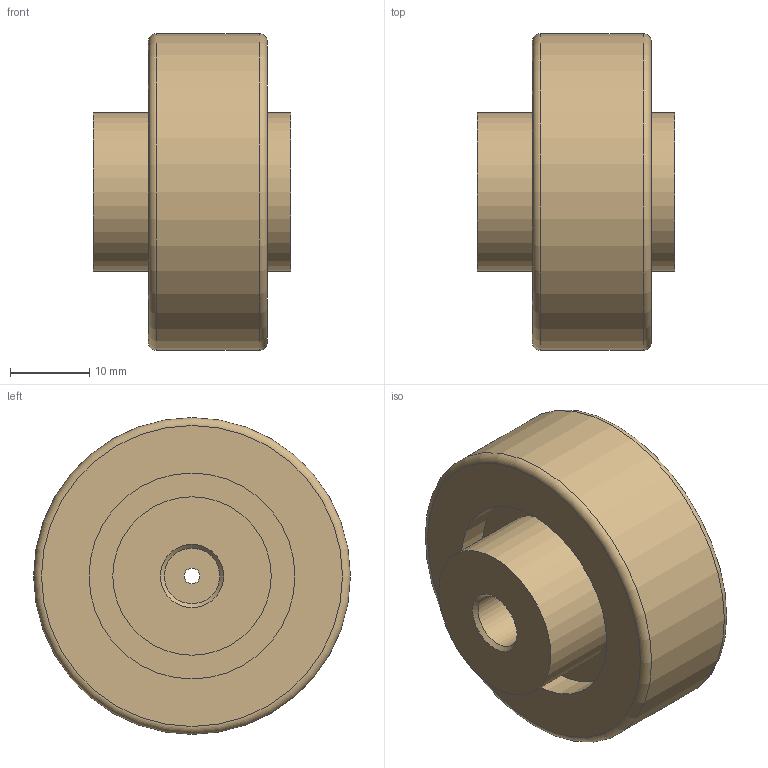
import cadquery as cq

wheel_diameter = 40.0
wheel_width = 15.0
wheel_edge_radius = 1.0

hub_diameter = 20.0
hub_length = 25.0
hub_front_overhang = 7.0

recess_diameter = 26.0
recess_depth = wheel_width / 4

bore_diameter = 7.0
bore_depth = 15.0
bore_chamfer = 0.5
pilot_diameter = 2.0


def cylinder(diameter, x_start, length):
    """Solid cylinder on the X axis, starting at x_start and running toward +X."""
    plane = cq.Workplane("YZ", origin=(x_start, 0, 0))
    return plane.circle(diameter / 2).extrude(length)


def make_wheel():
    """Wheel disc with rounded rims and the recess in its front face."""
    disc = cylinder(wheel_diameter, hub_front_overhang, wheel_width)
    disc = disc.edges().fillet(wheel_edge_radius)
    return disc.cut(cylinder(recess_diameter, hub_front_overhang, recess_depth))


def make_hub_bore():
    """Material removed along the hub axis, narrowing from the chamfered mouth to the pilot hole."""
    bore_radius = bore_diameter / 2
    pilot_radius = pilot_diameter / 2
    half_profile = (
        cq.Workplane("XY")
        .moveTo(0, 0)
        .lineTo(0, bore_radius + bore_chamfer)
        .lineTo(bore_chamfer, bore_radius)
        .lineTo(bore_depth, bore_radius)
        .lineTo(bore_depth, pilot_radius)
        .lineTo(hub_length, pilot_radius)
        .lineTo(hub_length, 0)
        .close()
    )
    return half_profile.revolve(360, (0, 0, 0), (1, 0, 0))


hub = cylinder(hub_diameter, 0, hub_length)
result = make_wheel().union(hub).cut(make_hub_bore())